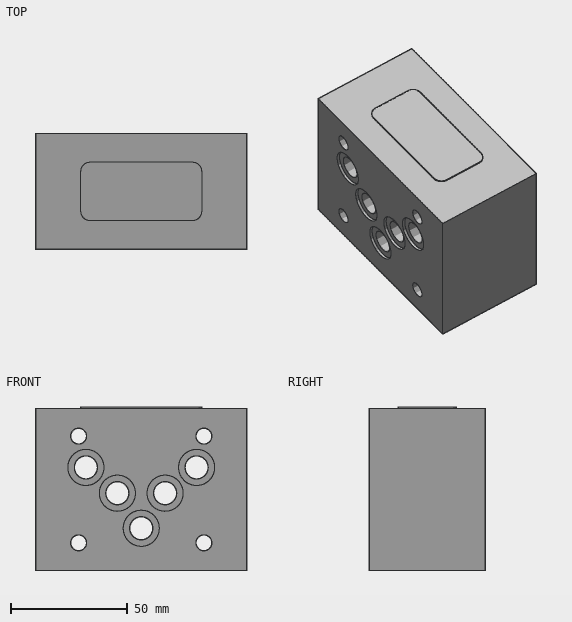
import cadquery as cq

BLOCK_LENGTH = 91.0
BLOCK_DEPTH = 50.0
BLOCK_HEIGHT = 70.0
OVERALL_HEIGHT = 70.5

PLATE_LENGTH = 52.1
PLATE_WIDTH = 25.1
PLATE_CORNER_RADIUS = 4.0
PLATE_THICKNESS = OVERALL_HEIGHT - BLOCK_HEIGHT

BOLT_DIAMETER = 6.7
BOLT_SPACING_X = 54.0
BOLT_SPACING_Z = 46.0
LOWER_BOLT_Z = 12.0

PORT_DIAMETER = 9.8
RECESS_DIAMETER = 15.6
RECESS_DEPTH = 1.3
OUTER_PORT_X = 23.8
INNER_PORT_X = 10.3
OUTER_PORT_Z = LOWER_BOLT_Z + 32.5
INNER_PORT_Z = LOWER_BOLT_Z + 21.4
CENTRE_PORT_Z = LOWER_BOLT_Z + 6.3

FRONT_Y = -BLOCK_DEPTH / 2

bolt_points = [
    (side * BOLT_SPACING_X / 2, z)
    for side in (-1, 1)
    for z in (LOWER_BOLT_Z, LOWER_BOLT_Z + BOLT_SPACING_Z)
]
port_points = [
    (-OUTER_PORT_X, OUTER_PORT_Z),
    (-INNER_PORT_X, INNER_PORT_Z),
    (0, CENTRE_PORT_Z),
    (INNER_PORT_X, INNER_PORT_Z),
    (OUTER_PORT_X, OUTER_PORT_Z),
]


def front_cylinders(points, diameter, depth):
    """Cylinders running from the front face into the block along +Y."""
    front_plane = cq.Workplane("XZ", origin=(0, FRONT_Y, 0))
    return front_plane.pushPoints(points).circle(diameter / 2).extrude(-depth)


block = cq.Workplane("XY").box(
    BLOCK_LENGTH, BLOCK_DEPTH, BLOCK_HEIGHT, centered=(True, True, False)
)

plate = (
    cq.Workplane("XY", origin=(0, 0, BLOCK_HEIGHT))
    .rect(PLATE_LENGTH, PLATE_WIDTH)
    .extrude(PLATE_THICKNESS)
    .edges("|Z")
    .fillet(PLATE_CORNER_RADIUS)
)

result = (
    block.union(plate)
    .cut(front_cylinders(bolt_points, BOLT_DIAMETER, BLOCK_DEPTH))
    .cut(front_cylinders(port_points, PORT_DIAMETER, BLOCK_DEPTH))
    .cut(front_cylinders(port_points, RECESS_DIAMETER, RECESS_DEPTH))
)